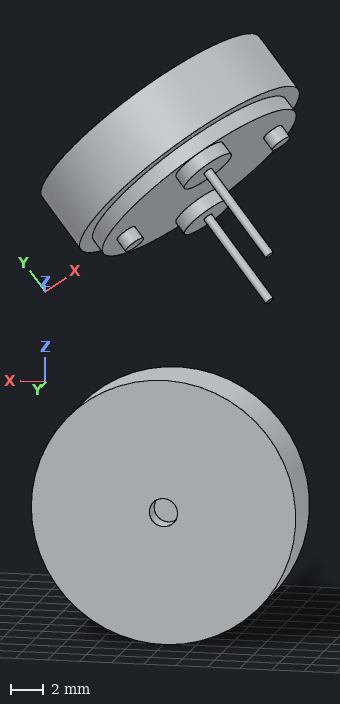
import cadquery as cq

body_diameter = 16.5
body_depth = 4.1
step_diameter = 14.55
step_depth = 1.02

feature_offset = 5.5
standoff_height = 0.89
pad_diameter = 3.53
foot_diameter = 1.35
lead_diameter = 0.6
lead_length = 6.5

sound_hole_diameter = 1.75
sound_hole_depth = 1.42

body_front = -body_depth
step_front = body_front - step_depth


def cylinder(diameter, start_y, length, x=0, z=0):
    """Round bar along Y, running from start_y toward -Y."""
    return (
        cq.Workplane("XZ", origin=(x, start_y, z))
        .circle(diameter / 2)
        .extrude(length)
    )


case = cylinder(body_diameter, 0, body_depth)
case = case.union(cylinder(step_diameter, body_front, step_depth))
case = case.cut(cylinder(sound_hole_diameter, 0, sound_hole_depth))

for side in (-1, 1):
    offset = side * feature_offset
    case = case.union(cylinder(foot_diameter, step_front, standoff_height, x=offset))
    case = case.union(cylinder(pad_diameter, step_front, standoff_height, z=offset))
    case = case.union(cylinder(lead_diameter, step_front, standoff_height + lead_length, z=offset))

result = case